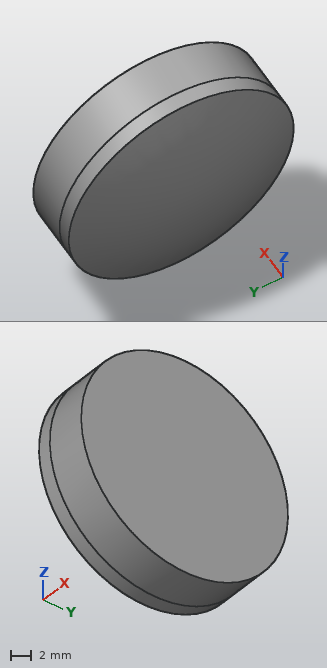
import cadquery as cq

diameter = 25.4
total_thickness = 9.17
dome_height = 2.6
front_rim_width = 1.7

radius = diameter / 2
joint_x = dome_height + front_rim_width
dome_radius = (radius**2 + dome_height**2) / (2 * dome_height)


def make_front_lens():
    """Plano-convex lens, revolved from a half profile bounded by a spherical arc."""
    mid_z = radius / 2
    mid_x = dome_radius - (dome_radius**2 - mid_z**2) ** 0.5
    return (
        cq.Workplane("XZ")
        .moveTo(0, 0)
        .threePointArc((mid_x, mid_z), (dome_height, radius))
        .lineTo(joint_x, radius)
        .lineTo(joint_x, 0)
        .close()
        .revolve(360, (0, 0, 0), (1, 0, 0))
    )


def make_rear_lens():
    """Plain disc behind the domed lens, seated on its flat face."""
    return (
        cq.Workplane("XZ")
        .moveTo(joint_x, 0)
        .lineTo(joint_x, radius)
        .lineTo(total_thickness, radius)
        .lineTo(total_thickness, 0)
        .close()
        .revolve(360, (0, 0, 0), (1, 0, 0))
    )


front_lens = make_front_lens()
rear_lens = make_rear_lens()

result = cq.Compound.makeCompound([front_lens.val(), rear_lens.val()])